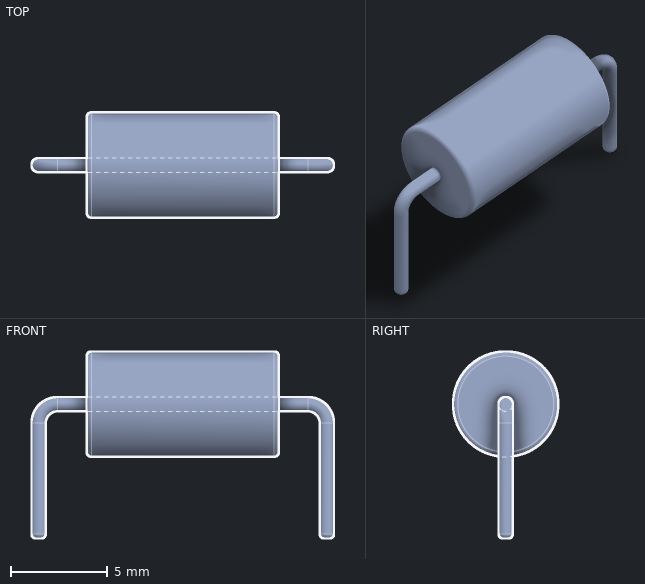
import cadquery as cq

overall_length = 15.75
overall_height = 9.75

body_diameter = 5.5
body_length = 10.0
body_edge_radius = 0.25

wire_diameter = 0.75
bend_radius = 1.0
tip_edge_radius = 0.25

leg_x = (overall_length - wire_diameter) / 2
tip_z = body_diameter / 2 - overall_height
bend_start_x = leg_x - bend_radius
body_start = (-body_length / 2, 0, 0)


def make_body():
    """Cylinder with rounded rims and a through hole for the wire."""
    cylinder = (
        cq.Workplane("YZ", origin=body_start)
        .circle(body_diameter / 2)
        .extrude(body_length)
        .edges("%CIRCLE")
        .fillet(body_edge_radius)
    )
    wire_hole = cq.Workplane("YZ", origin=body_start).circle(wire_diameter / 2).extrude(body_length)
    return cylinder.cut(wire_hole)


def make_wire():
    """Round wire: leg, bend, straight run through the body, bend, leg."""
    centre_line = (
        cq.Workplane("XZ")
        .moveTo(-leg_x, tip_z)
        .lineTo(-leg_x, -bend_radius)
        .tangentArcPoint((-bend_start_x, 0), relative=False)
        .lineTo(bend_start_x, 0)
        .tangentArcPoint((leg_x, -bend_radius), relative=False)
        .lineTo(leg_x, tip_z)
    )
    wire = (
        cq.Workplane("XY", origin=(-leg_x, 0, tip_z))
        .circle(wire_diameter / 2)
        .sweep(centre_line)
    )
    return wire.faces("<Z").edges().fillet(tip_edge_radius)


body = make_body()
wire = make_wire()

result = cq.Compound.makeCompound([body.solids().val(), wire.solids().val()])